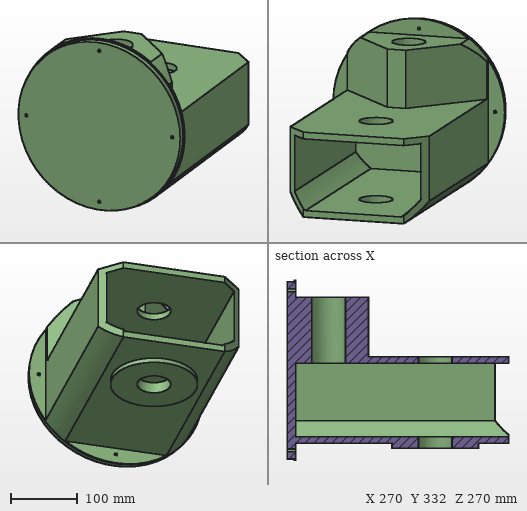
import cadquery as cq
import math

total_length = 332.0
flange_diameter = 270.0
flange_face_diameter = 266.0
flange_thickness = 13.0
flange_lip_thickness = 2.3
screw_hole_diameter = 4.0
screw_circle_radius = 120.0

body_half_width = 109.5
wall = 10.3
deck_height = 20.5

block_back = 122.0
block_side_end = 22.2
block_back_half_width = 14.5

bore_diameter = 50.0
block_bore_y = 62.0
deck_bore_y = 221.8
pad_diameter = 130.0
pad_height = 7.3

body_radius = flange_diameter / 2
body_length = total_length - flange_thickness
corner_start = math.sqrt(body_radius**2 - body_half_width**2)
end_chamfer = body_half_width - corner_start


def disc(diameter, start_y, length):
    """Solid disc around the flange axis, extending toward +Y."""
    return cq.Workplane("XZ", origin=(0, start_y, 0)).circle(diameter / 2).extrude(-length)


def rounded_prism(half_width, radius, length):
    """Square prism behind the flange with its corners cut by a coaxial cylinder."""
    square = (
        cq.Workplane("XZ", origin=(0, flange_thickness, 0))
        .rect(2 * half_width, 2 * half_width)
        .extrude(-length)
    )
    return square.intersect(disc(2 * radius, flange_thickness, length))


def space_above(height):
    """Large block above a given height, covering the whole part."""
    return cq.Workplane("XY", origin=(0, 0, height)).rect(
        2 * flange_diameter, 3 * total_length
    ).extrude(flange_diameter)


def vertical_cylinder(diameter, y, bottom, top):
    return cq.Workplane("XY", origin=(0, y, bottom)).circle(diameter / 2).extrude(top - bottom)


flange = disc(flange_face_diameter, 0, flange_thickness).union(
    disc(flange_diameter, flange_thickness - flange_lip_thickness, flange_lip_thickness)
)
screw_holes = (
    cq.Workplane("XZ")
    .polarArray(screw_circle_radius, 0, 360, 4)
    .circle(screw_hole_diameter / 2)
    .extrude(-flange_thickness)
)
flange = flange.cut(screw_holes)

envelope = rounded_prism(body_half_width, body_radius, body_length)
cavity = rounded_prism(body_half_width - wall, body_radius - wall, body_length).cut(
    space_above(deck_height - wall)
)
housing = envelope.cut(space_above(deck_height)).cut(cavity)

plan = (
    cq.Workplane("XY", origin=(0, 0, -flange_diameter / 2))
    .rect(2 * body_half_width, 2 * total_length)
    .extrude(flange_diameter)
    .edges("|Z and >Y")
    .chamfer(end_chamfer)
)
housing = housing.intersect(plan)

block = (
    cq.Workplane("XY", origin=(0, 0, deck_height))
    .moveTo(-body_half_width, flange_thickness)
    .lineTo(-body_half_width, block_side_end)
    .lineTo(-block_back_half_width, block_back)
    .lineTo(block_back_half_width, block_back)
    .lineTo(body_half_width, block_side_end)
    .lineTo(body_half_width, flange_thickness)
    .close()
    .extrude(body_half_width - deck_height)
    .intersect(envelope)
)

pad_bottom = -body_half_width - pad_height
pad = vertical_cylinder(pad_diameter, deck_bore_y, pad_bottom, -body_half_width + wall / 2)

deck_bore = vertical_cylinder(bore_diameter, deck_bore_y, pad_bottom, deck_height)
block_bore = vertical_cylinder(bore_diameter, block_bore_y, 0, body_half_width)

result = flange.union(housing).union(block).union(pad).cut(deck_bore).cut(block_bore)